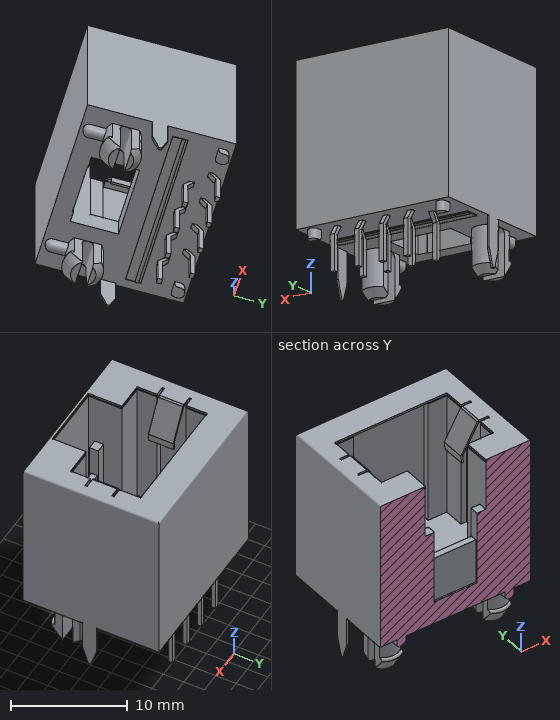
import cadquery as cq
import math

LENGTH = 15.9
DEPTH = 13.3
TOTAL_HEIGHT = 19.9
LEG_DROP = 4.55
BODY_TOP = TOTAL_HEIGHT - LEG_DROP
SHEET = 0.2
TOP_EDGE_RADIUS = 0.18

CAVITY_HALF_WIDTH = 5.91
CAVITY_BACK = 3.72
CAVITY_FRONT = -3.1
CAVITY_FLOOR = 2.39
RIM_CHAMFER = 0.12
RECESS_HALF_WIDTH = 3.92
RECESS_DEPTH = 0.6

KEY_HALF_WIDTH = 3.18
KEY_FRONT = -6.39
WINDOW_BACK = -0.6
CATCH_INNER_HALF_WIDTH = 2.25
CENTRE_SILL = {"back": -4.98, "front": -5.61, "top": 6.96}
CORNER_SILL = {"back": -4.9, "front": -5.75, "top": 9.95}
CORNER_STEP_TOP = 4.98

TAB_CENTRE_Y = 0.24
TAB_HALF_WIDTH = 1.21
SLIT_WIDTH = 0.2
SLIT_END = 6.87
TAB_SLOT_END = 6.5
TAB_BEND = (5.73, BODY_TOP - 0.1)
TAB_KNEE = (4.0, 12.3)
TAB_TIP = (4.08, 11.52)

LEG_Y = -0.15
LEG_WIDTH = 1.37
LEG_TIP_WIDTH = 0.24
LEG_SHOULDER = -2.83

PIN_COUNT = 8
PIN_PITCH = 1.27
PIN_WIDTH = 0.45
PIN_THICKNESS = 0.42
PIN_DROP = 4.25
PIN_BEND = 0.9
PIN_JOG = 0.6
BACK_ROW_Y = 5.97
FRONT_ROW_Y = 3.45

POST_X = 5.71
POST_Y = -2.9
POST_RADIUS = 1.65
POST_HALF_WIDTH = 1.13
POST_DROP = 4.24
POST_SLOT = 1.0
LEAD_START = 3.46
LEAD_RADIUS = 1.0
BARB_RADIUS = 1.93
BARB_TOP = 2.63
BARB_NOSE = 0.24
BARB_TIP_RADIUS = 1.17

FOOT_WIDTH = 1.0
FOOT_DROP = 0.94
FRONT_FOOT_END = -6.37
FRONT_FOOT_ROOT = -3.9
BACK_FOOT_X = 6.67
BACK_FOOT_FRONT = 5.31
BACK_FOOT_END = 6.33
BACK_FOOT_RADIUS = 0.4
RIDGE_HALF_LENGTH = 7.12
RIDGE_BACK = 2.57
RIDGE_FRONT = 1.2
RIDGE_DROP = 0.08
BEAD_Y = 2.19
BEAD_RADIUS = 0.18


def block(x0, x1, y0, y1, z0, z1):
    """Box between two X, two Y and two Z limits."""
    return cq.Workplane("XY").box(x1 - x0, y1 - y0, z1 - z0, centered=False).translate((x0, y0, z0))


def mirrored(shape):
    """The shape together with its mirror image across the YZ plane."""
    return shape.union(shape.mirror("YZ"))


def opening_outline(z, margin=0.0):
    """Wide plug opening joined to the narrower latch keyway."""
    wide = CAVITY_HALF_WIDTH + margin
    narrow = KEY_HALF_WIDTH + margin
    back = CAVITY_BACK + margin
    shoulder = CAVITY_FRONT - margin
    front = KEY_FRONT - margin
    half = [(wide, back), (wide, shoulder), (narrow, shoulder), (narrow, front)]
    other_half = [(-x, y) for x, y in reversed(half)]
    return cq.Workplane("XY", origin=(0, 0, z)).polyline(half + other_half).close()


def make_body():
    """Plain block with its top edges rounded on every side but the front."""
    body = block(-LENGTH / 2, LENGTH / 2, -DEPTH / 2, DEPTH / 2, 0, BODY_TOP)
    return body.edges("(>Z and >X) or (>Z and <X) or (>Z and >Y)").fillet(TOP_EDGE_RADIUS)


def make_cavity():
    """Everything hollow in the body: plug space, recess, window, tab slots and relief slits."""
    sheet_bottom = BODY_TOP - SHEET
    cavity = opening_outline(CAVITY_FLOOR).extrude(BODY_TOP - CAVITY_FLOOR)
    cavity = cavity.union(opening_outline(sheet_bottom, RIM_CHAMFER).extrude(-RIM_CHAMFER, taper=45))
    recess_back = CAVITY_BACK + RECESS_DEPTH
    recess = block(-RECESS_HALF_WIDTH, RECESS_HALF_WIDTH, 0, recess_back, CAVITY_FLOOR, sheet_bottom)
    window = block(-KEY_HALF_WIDTH, KEY_HALF_WIDTH, CENTRE_SILL["back"], WINDOW_BACK, -RIDGE_DROP, BODY_TOP)
    slot_half = TAB_HALF_WIDTH + SLIT_WIDTH
    slot = block(
        0, TAB_SLOT_END, TAB_CENTRE_Y - slot_half, TAB_CENTRE_Y + slot_half, CAVITY_FLOOR, sheet_bottom
    )
    for y in (TAB_CENTRE_Y + TAB_HALF_WIDTH, TAB_CENTRE_Y - slot_half):
        slot = slot.union(block(0, SLIT_END, y, y + SLIT_WIDTH, sheet_bottom - SHEET, BODY_TOP))
    return cavity.union(recess).union(window).union(mirrored(slot))


def make_sills():
    """Stepped latch ledges along the front of the keyway."""

    def ledge(inner_x, front, back, top):
        return mirrored(block(inner_x, KEY_HALF_WIDTH, front, back, 0, top))

    centre = ledge(0, CENTRE_SILL["front"], CENTRE_SILL["back"], CENTRE_SILL["top"])
    corner = ledge(CATCH_INNER_HALF_WIDTH, CORNER_SILL["front"], CORNER_SILL["back"], CORNER_SILL["top"])
    step = ledge(CATCH_INNER_HALF_WIDTH, KEY_FRONT, CORNER_SILL["front"], CORNER_STEP_TOP)
    return centre.union(corner).union(step)


def make_tab():
    """Sheet strip folded down from the rim, then turned back at its knee."""
    profile = [
        (TAB_SLOT_END, BODY_TOP),
        (CAVITY_HALF_WIDTH, BODY_TOP),
        TAB_BEND,
        TAB_KNEE,
        TAB_TIP,
        (TAB_TIP[0] + SHEET, TAB_TIP[1]),
        (TAB_KNEE[0] + SHEET, TAB_KNEE[1]),
        (CAVITY_HALF_WIDTH, BODY_TOP - SHEET),
        (TAB_SLOT_END, BODY_TOP - SHEET),
    ]
    plane = cq.Workplane("XZ", origin=(0, TAB_CENTRE_Y, 0))
    return plane.polyline(profile).close().extrude(TAB_HALF_WIDTH, both=True)


def make_leg():
    """Pointed solder leg flush with the outer side of the shield."""
    half = LEG_WIDTH / 2
    tip = LEG_TIP_WIDTH / 2
    profile = [(-half, SHEET), (-half, LEG_SHOULDER), (-tip, -LEG_DROP)]
    profile += [(-y, z) for y, z in reversed(profile)]
    plane = cq.Workplane("YZ", origin=(LENGTH / 2 - SHEET, LEG_Y, 0))
    return plane.polyline(profile).close().extrude(SHEET)


def make_pin(x, y, jog):
    """Pin at row position y whose root is offset along Y by the jog."""
    half = PIN_THICKNESS / 2
    path = [(y + jog, 0), (y, -PIN_BEND), (y, -PIN_DROP)]
    near = [(py - half, pz) for py, pz in path]
    far = [(py + half, pz) for py, pz in reversed(path)]
    plane = cq.Workplane("YZ", origin=(x, 0, 0))
    return plane.polyline(near + far).close().extrude(PIN_WIDTH / 2, both=True)


def make_post():
    """Split post: a plain rear half and a barbed front half, flattened on both sides."""
    reach = 2 * BARB_RADIUS
    rear_profile = [
        (0, 0),
        (POST_RADIUS, 0),
        (POST_RADIUS, -LEAD_START),
        (LEAD_RADIUS, -POST_DROP),
        (0, -POST_DROP),
    ]
    rear = cq.Workplane("XZ").polyline(rear_profile).close().revolve(360, (0, 0), (0, 1))
    nose_cut = BARB_NOSE * (1 - math.sqrt(0.5))
    nose_arc_middle = (BARB_RADIUS - nose_cut, -BARB_TOP - nose_cut)
    front = (
        cq.Workplane("XZ")
        .polyline([(0, -POST_DROP), (0, 0), (POST_RADIUS, 0), (POST_RADIUS, -BARB_TOP)])
        .lineTo(BARB_RADIUS - BARB_NOSE, -BARB_TOP)
        .threePointArc(nose_arc_middle, (BARB_RADIUS, -BARB_TOP - BARB_NOSE))
        .lineTo(BARB_TIP_RADIUS, -POST_DROP)
        .close()
        .revolve(360, (0, 0), (0, 1))
    )
    rear = rear.intersect(block(-POST_HALF_WIDTH, POST_HALF_WIDTH, 0, reach, -POST_DROP, 0))
    front = front.intersect(block(-POST_HALF_WIDTH, POST_HALF_WIDTH, -reach, 0, -POST_DROP, 0))
    half = POST_SLOT / 2
    slot = (
        cq.Workplane("YZ")
        .moveTo(-half, -POST_DROP)
        .lineTo(-half, -half)
        .threePointArc((0, 0), (half, -half))
        .lineTo(half, -POST_DROP)
        .close()
        .extrude(POST_HALF_WIDTH, both=True)
    )
    return rear.union(front).cut(slot).translate((POST_X, POST_Y, 0))


def make_front_foot():
    """Rib with a half-round underside and a ball-shaped front end."""
    radius = FOOT_WIDTH / 2
    end = FRONT_FOOT_END + radius
    back = FRONT_FOOT_ROOT
    spine = FOOT_DROP - radius
    rod = cq.Workplane("XZ", origin=(0, back, -spine)).circle(radius).extrude(back - end)
    rib = block(-radius, radius, end, back, -spine, 0)
    ball = cq.Workplane("XY").sphere(radius).translate((0, end, -spine))
    pillar = cq.Workplane("XY", origin=(0, end, 0)).circle(radius).extrude(-spine)
    foot = rod.union(rib).union(ball).union(pillar)
    return foot.intersect(block(-radius, radius, -DEPTH / 2, back, -FOOT_DROP, 0)).translate((POST_X, 0, 0))


def make_back_foot():
    """Stand-off with a half-round back and a rounded lower front edge."""
    radius = FOOT_WIDTH / 2
    end = BACK_FOOT_END - radius
    outline = (
        cq.Workplane("XY")
        .moveTo(-radius, end)
        .lineTo(-radius, BACK_FOOT_FRONT)
        .lineTo(radius, BACK_FOOT_FRONT)
        .lineTo(radius, end)
        .threePointArc((0, BACK_FOOT_END), (-radius, end))
        .close()
    )
    foot = outline.extrude(-FOOT_DROP).edges("<Y and <Z").fillet(BACK_FOOT_RADIUS)
    return foot.translate((BACK_FOOT_X, 0, 0))


def make_ridge():
    """Shallow bar across the underside carrying a half-round bead."""
    bar = block(-RIDGE_HALF_LENGTH, RIDGE_HALF_LENGTH, RIDGE_FRONT, RIDGE_BACK, -RIDGE_DROP, 0)
    plane = cq.Workplane("YZ", origin=(0, BEAD_Y, 0))
    return bar.union(plane.circle(BEAD_RADIUS).extrude(RIDGE_HALF_LENGTH, both=True))


result = make_body().cut(make_cavity()).union(make_sills()).union(make_ridge())
for make_side_part in (make_tab, make_leg, make_post, make_front_foot, make_back_foot):
    result = result.union(mirrored(make_side_part()))
for index in range(PIN_COUNT):
    x = (index - (PIN_COUNT - 1) / 2) * PIN_PITCH
    in_front_row = index % 2 == 0
    row = FRONT_ROW_Y if in_front_row else BACK_ROW_Y
    result = result.union(make_pin(x, row, PIN_JOG if in_front_row else -PIN_JOG))